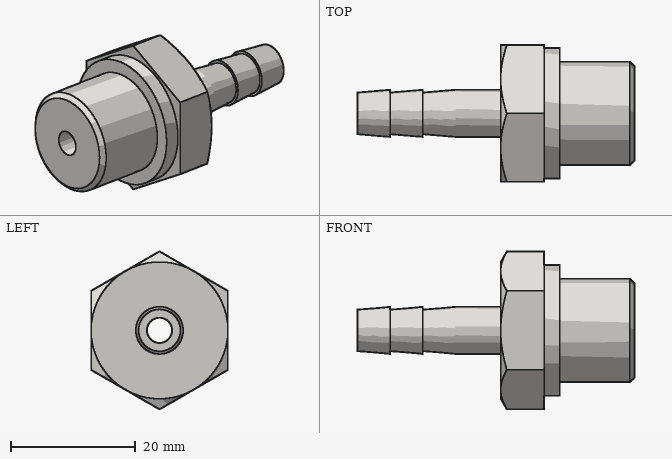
import cadquery as cq
import math

total_length = 44.5
barb_count = 3
barb_length = 5.25
hex_start = 23.0
hex_end = 30.0
collar_end = 32.5

bore_diameter = 4.0
barb_tip_diameter = 6.7
stem_diameter = 7.6
hex_across_flats = 22.0
collar_diameter = 21.0
spigot_diameter = 16.65
spigot_chamfer = 0.75
hex_chamfer_angle = 30.0

hex_across_corners = hex_across_flats / math.cos(math.radians(30))


def cylinder_x(diameter, start, end):
    """Solid cylinder on the X axis between two positions."""
    return cq.Workplane("YZ", origin=(start, 0, 0)).circle(diameter / 2).extrude(end - start)


def make_barb(start):
    """Cone that widens away from the hose end."""
    end = start + barb_length
    profile = [
        (start, 0),
        (start, barb_tip_diameter / 2),
        (end, stem_diameter / 2),
        (end, 0),
    ]
    return cq.Workplane("XY").polyline(profile).close().revolve(360, (0, 0, 0), (1, 0, 0))


def make_hex():
    """Hexagon with corners on +Z and -Z, chamfered on its hose side."""
    hexagon = (
        cq.Workplane("YZ", origin=(hex_start, 0, 0))
        .transformed(rotate=(0, 0, 90))
        .polygon(6, hex_across_corners)
        .extrude(hex_end - hex_start)
    )
    face_radius = hex_across_flats / 2
    outer_radius = hex_across_corners
    chamfer_depth = (outer_radius - face_radius) * math.tan(math.radians(hex_chamfer_angle))
    envelope_profile = [
        (hex_start, 0),
        (hex_start, face_radius),
        (hex_start + chamfer_depth, outer_radius),
        (hex_end, outer_radius),
        (hex_end, 0),
    ]
    envelope = (
        cq.Workplane("XY").polyline(envelope_profile).close().revolve(360, (0, 0, 0), (1, 0, 0))
    )
    return hexagon.intersect(envelope)


body = cylinder_x(stem_diameter, barb_count * barb_length, hex_start)
for index in range(barb_count):
    body = body.union(make_barb(index * barb_length))

spigot = cylinder_x(spigot_diameter, collar_end, total_length).faces(">X").chamfer(spigot_chamfer)
body = body.union(make_hex())
body = body.union(cylinder_x(collar_diameter, hex_end, collar_end))
body = body.union(spigot)

body = body.cut(cylinder_x(bore_diameter, 0, total_length))

result = body.translate((-total_length / 2, 0, 0))